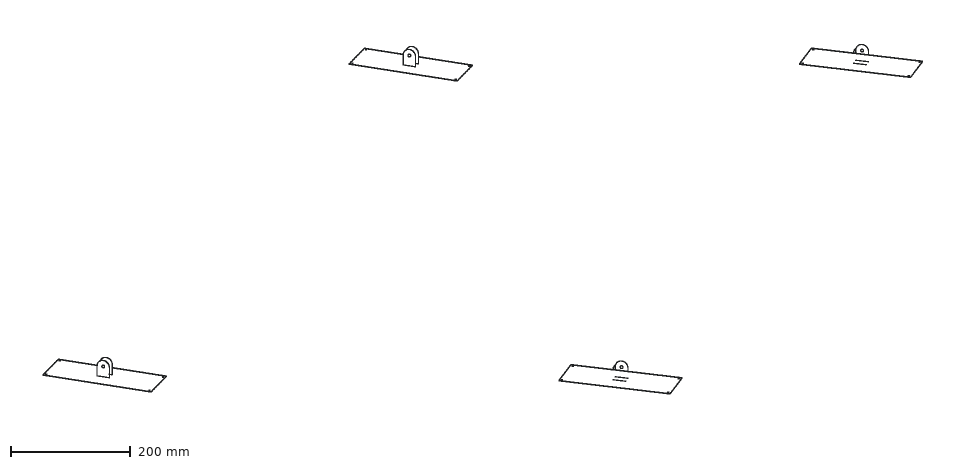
import cadquery as cq

plate_length = 194.0
plate_width = 70.0
plate_thickness = 1.0
overall_span = 1470.0
corner_hole_diameter = 2.2
corner_hole_inset = 5.0

overall_height = 31.0
lug_width = 22.0
lug_thickness = 1.0
lug_spacing = 13.0
lug_hole_diameter = 5.0

lug_radius = lug_width / 2
lug_hole_height = overall_height - lug_radius
hole_pitch_x = plate_length - 2 * corner_hole_inset
hole_pitch_y = plate_width - 2 * corner_hole_inset
bracket_spacing = overall_span - plate_width


def make_plate():
    """Flat rectangular plate with a hole in each corner, resting on Z = 0."""
    return (
        cq.Workplane("XY")
        .box(plate_length, plate_width, plate_thickness, centered=(True, True, False))
        .faces(">Z")
        .workplane()
        .rect(hole_pitch_x, hole_pitch_y, forConstruction=True)
        .vertices()
        .hole(corner_hole_diameter)
    )


def make_lug(center_y):
    """Upright lug with a full-round top and a concentric cross hole along Y."""
    profile = (
        cq.Workplane("XZ", origin=(0, center_y + lug_thickness / 2, 0))
        .moveTo(-lug_radius, plate_thickness)
        .lineTo(lug_radius, plate_thickness)
        .lineTo(lug_radius, lug_hole_height)
        .threePointArc((0, overall_height), (-lug_radius, lug_hole_height))
        .close()
    )
    cross_hole = (
        cq.Workplane("XZ", origin=(0, center_y + lug_thickness / 2, lug_hole_height))
        .circle(lug_hole_diameter / 2)
        .extrude(lug_thickness)
    )
    return profile.extrude(lug_thickness).cut(cross_hole)


def make_bracket(center_y):
    """One solid: a plate carrying a pair of facing lugs."""
    bracket = make_plate()
    for side in (-1, 1):
        bracket = bracket.union(make_lug(side * lug_spacing / 2))
    return bracket.translate((0, center_y, 0))


brackets = [make_bracket(side * bracket_spacing / 2) for side in (-1, 1)]

result = cq.Compound.makeCompound([bracket.val() for bracket in brackets])